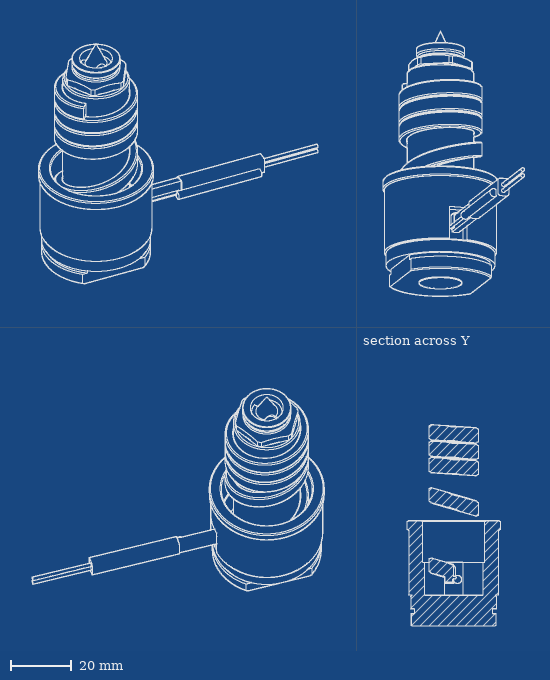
import cadquery as cq
import math

base_radius = 18.0
base_neck_radius = 17.0
base_flat_half_width = 14.0
base_bottom_z = 0.3
base_chamfer = 0.4
base_neck_bottom_z = 4.4
base_flange_bottom_z = 6.0
base_top_z = 10.5
seat_radius = 7.1

cup_radius = 18.5
cup_bore_radius = 15.0
cup_lower_bore_radius = 14.6
cup_bore_chamfer = 0.4
collar_radius = 19.0
collar_bottom_z = 32.2
cup_top_z = 35.1
collar_chamfer = 0.4
lead_slot_width = 6.0
lead_slot_top_z = 21.3

core_radius = 11.0
core_top_z = 72.2
core_chamfer = 0.5
hex_neck_radius = 9.0
hex_bottom_z = 72.7
hex_across_flats = 19.0
hex_corner_radius = 10.6
hex_cone_bottom_z = 75.0
hex_top_z = 76.3
neck_foot_radius = 7.9
neck_foot_top_z = 76.7
head_neck_radius = 7.5
head_slope_bottom_z = 77.5
head_radius = 8.0
head_bottom_z = 78.0
head_top_z = 80.2
head_chamfer = 0.2
head_bore_radius = 5.4
bore_floor_radius = 5.0
bore_floor_z = 77.8

tip_z = 86.2
tip_base_radius = 3.6
tip_half_angle = 24.2
outlet_diameter = 5.4
outlet_angles = (5, 185)
outlet_slope = 60.0
outlet_axis_radius = 5.0
outlet_depth = 2.5
outlet_rise = 5.0

coil_radius = 13.75
coil_height = 5.1
coil_chamfer = 0.45
coil_samples_per_turn = 24
coil_overlap = 0.2
coil_end_angle = -42.0
coil_end_z = 67.1
close_pitch = 5.4
open_pitch = 23.2
widening_start = 1110.0
widening_end = 1254.0
winding_total = 1668.0

lead_x = -1.35
lead_z = 17.3
strip_x = -1.65
strip_width = 2.7
strip_height = 5.2
strip_edge_radius = 0.6
sleeve_width = 3.9
sleeve_height = 6.0
sleeve_edge_radius = 1.0
sleeve_start_y = 31.0
sleeve_length = 30.0
wire_diameter = 1.25
wire_spacing = 2.05
wire_middle_z = 17.1
wire_end_y = 81.0
joint_overlap = 1.0
sensor_tube_diameter = 2.75
sensor_tube_x = 1.28
sensor_tube_start_y = 29.0
sensor_wire_diameter = 1.0
sensor_wire_x = 0.35
sensor_wire_z = 16.3


def revolve_profile(points):
    """Turn an (r, z) outline around the Z axis."""
    return cq.Workplane("XZ").polyline(points).close().revolve(360, (0, 0), (0, 1))


def bar_along_y(x, z, width, height, start_y, end_y):
    bar = cq.Workplane("XY").box(width, end_y - start_y, height)
    return bar.translate((x, (start_y + end_y) / 2, z))


def rod_along_y(x, z, diameter, start_y, end_y):
    rod = cq.Workplane("XZ", origin=(x, start_y, z)).circle(diameter / 2)
    return rod.extrude(start_y - end_y)


def make_base():
    base = revolve_profile([
        (0, 0),
        (seat_radius, 0),
        (seat_radius, base_bottom_z),
        (base_radius - base_chamfer, base_bottom_z),
        (base_radius, base_bottom_z + base_chamfer),
        (base_radius, base_neck_bottom_z),
        (base_neck_radius, base_neck_bottom_z),
        (base_neck_radius, base_flange_bottom_z),
        (base_radius, base_flange_bottom_z),
        (base_radius, base_top_z - base_chamfer),
        (base_radius - base_chamfer, base_top_z),
        (0, base_top_z),
    ])
    flat_depth = base_radius - base_flat_half_width
    for side in (-1, 1):
        cutter = cq.Workplane("XY").box(
            flat_depth, 2 * base_radius, base_flange_bottom_z, centered=(True, True, False)
        )
        base = base.cut(cutter.translate((side * (base_flat_half_width + flat_depth / 2), 0, 0)))
    return base


def make_cup():
    cup = revolve_profile([
        (cup_lower_bore_radius, base_top_z),
        (cup_radius, base_top_z),
        (cup_radius, collar_bottom_z - collar_chamfer),
        (collar_radius - collar_chamfer, collar_bottom_z - collar_chamfer),
        (collar_radius, collar_bottom_z),
        (collar_radius, cup_top_z - collar_chamfer),
        (collar_radius - collar_chamfer, cup_top_z),
        (cup_bore_radius + cup_bore_chamfer, cup_top_z),
        (cup_bore_radius, cup_top_z - cup_bore_chamfer),
        (cup_bore_radius, lead_slot_top_z),
        (cup_lower_bore_radius, lead_slot_top_z),
    ])
    slot = cq.Workplane("XY", origin=(0, 0, base_top_z)).box(
        lead_slot_width, cup_radius, lead_slot_top_z - base_top_z, centered=(True, False, False)
    )
    return cup.cut(slot)


def make_core():
    return revolve_profile([
        (0, base_bottom_z),
        (core_radius, base_bottom_z),
        (core_radius, core_top_z - core_chamfer),
        (core_radius - core_chamfer, core_top_z),
        (hex_neck_radius, core_top_z),
        (hex_neck_radius, hex_bottom_z),
        (neck_foot_radius, hex_bottom_z),
        (neck_foot_radius, hex_top_z),
        (head_neck_radius, neck_foot_top_z),
        (head_neck_radius, head_slope_bottom_z),
        (head_radius, head_bottom_z),
        (head_radius, head_top_z - head_chamfer),
        (head_radius - head_chamfer, head_top_z),
        (tip_base_radius, head_top_z),
        (tip_base_radius, tip_z),
        (0, tip_z),
    ])


def make_hexagon():
    across_corners = hex_across_flats / math.cos(math.radians(30))
    prism = cq.Workplane("XY", origin=(0, 0, hex_bottom_z)).transformed(rotate=(0, 0, 90))
    prism = prism.polygon(6, across_corners).extrude(hex_top_z - hex_bottom_z)
    envelope = revolve_profile([
        (0, hex_bottom_z),
        (hex_corner_radius, hex_bottom_z),
        (hex_corner_radius, hex_cone_bottom_z),
        (neck_foot_radius, hex_top_z),
        (0, hex_top_z),
    ])
    return prism.intersect(envelope)


def make_head_bore():
    """Slightly tapered bore with the pointed tip left standing in it."""
    tip_base_z = tip_z - tip_base_radius / math.tan(math.radians(tip_half_angle))
    return revolve_profile([
        (0, tip_z),
        (tip_base_radius, tip_base_z),
        (bore_floor_radius, bore_floor_z),
        (head_bore_radius, head_top_z),
        (head_bore_radius, tip_z),
    ])


def make_outlet(angle):
    """Channel sloping up and outward beside the tip, kept inside the bore."""
    slope = math.radians(outlet_slope)
    turn = math.radians(angle)
    outward = cq.Vector(
        math.cos(slope) * math.cos(turn), math.cos(slope) * math.sin(turn), math.sin(slope)
    )
    mouth = cq.Vector(outlet_axis_radius * math.cos(turn), outlet_axis_radius * math.sin(turn), bore_floor_z)
    start = mouth - outward * outlet_depth
    channel = cq.Solid.makeCylinder(outlet_diameter / 2, outlet_depth + outlet_rise, start, outward)
    bore_column = cq.Workplane("XY").circle(bore_floor_radius).extrude(tip_z)
    return bore_column.intersect(cq.Workplane(channel))


def coil_drop(wound):
    """Height lost after winding down a number of degrees; the pitch grows evenly while widening."""
    widening = widening_end - widening_start
    in_widening = min(max(wound - widening_start, 0), widening)
    beyond = max(wound - widening_end, 0)
    pitch_growth = open_pitch - close_pitch
    extra = pitch_growth * (in_widening ** 2 / (2 * widening) + beyond)
    return (close_pitch * wound + extra) / 360


def make_coil():
    """Solid bounded by the helical edges of the coil strip, ruled together, and two flat ends."""
    inner_radius = core_radius - coil_overlap
    shoulder_radius = coil_radius - coil_chamfer
    half_height = coil_height / 2
    shoulder_rise = half_height - coil_chamfer
    section = [
        (inner_radius, -shoulder_rise),
        (inner_radius + coil_chamfer, -half_height),
        (shoulder_radius, -half_height),
        (coil_radius, -shoulder_rise),
        (coil_radius, shoulder_rise),
        (shoulder_radius, half_height),
        (inner_radius + coil_chamfer, half_height),
        (inner_radius, shoulder_rise),
    ]
    samples = math.ceil(coil_samples_per_turn * winding_total / 360)

    edges = []
    for radius, rise in section:
        points = []
        for i in range(samples + 1):
            wound = winding_total * i / samples
            angle = math.radians(coil_end_angle - wound)
            z = coil_end_z - coil_drop(wound) + rise
            points.append(cq.Vector(radius * math.cos(angle), radius * math.sin(angle), z))
        edges.append(cq.Edge.makeSpline(points, parameters=range(samples + 1)))

    faces = [cq.Face.makeRuledSurface(edges[i - 1], edges[i]) for i in range(len(edges))]
    upper_end = [edge.startPoint() for edge in edges]
    lower_end = [edge.endPoint() for edge in edges]
    for corners in (upper_end, lower_end):
        faces.append(cq.Face.makeFromWires(cq.Wire.makePolygon(corners, close=True)))
    return cq.Workplane(cq.Solid.makeSolid(cq.Shell.makeShell(faces)))


def make_leads():
    sleeve_end_y = sleeve_start_y + sleeve_length
    strip_end_y = sleeve_start_y + joint_overlap
    strip = bar_along_y(strip_x, lead_z, strip_width, strip_height, core_radius, strip_end_y)
    strip = strip.edges("|Y").edges("<X").fillet(strip_edge_radius)
    sleeve = bar_along_y(lead_x, lead_z, sleeve_width, sleeve_height, sleeve_start_y, sleeve_end_y)
    sleeve = sleeve.edges("|Y").fillet(sleeve_edge_radius)
    leads = strip.union(sleeve)

    wire_start_y = sleeve_end_y - joint_overlap
    for side in (-1, 1):
        wire_z = wire_middle_z + side * wire_spacing / 2
        leads = leads.union(rod_along_y(lead_x, wire_z, wire_diameter, wire_start_y, wire_end_y))

    tube_z = lead_z - sleeve_height / 2 + sensor_tube_diameter / 2
    tube_end_y = sensor_tube_start_y + sleeve_length
    tube = rod_along_y(sensor_tube_x, tube_z, sensor_tube_diameter, sensor_tube_start_y, tube_end_y)
    sensor_end_y = sensor_tube_start_y + joint_overlap
    sensor_wire = rod_along_y(sensor_wire_x, sensor_wire_z, sensor_wire_diameter, core_radius, sensor_end_y)
    return leads.union(tube).union(sensor_wire)


result = make_base().union(make_cup()).union(make_core()).union(make_hexagon())
result = result.cut(make_head_bore())
for outlet_angle in outlet_angles:
    result = result.cut(make_outlet(outlet_angle))
result = result.union(make_coil()).union(make_leads())